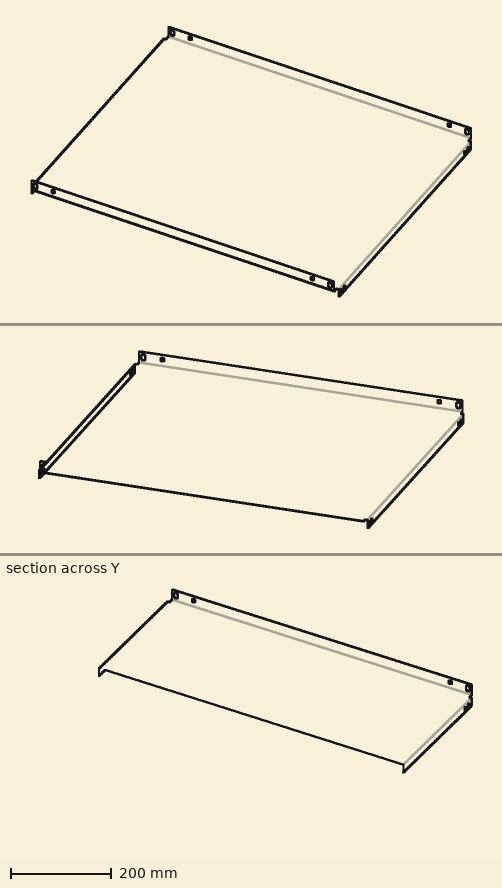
import cadquery as cq
import math

length = 698.0
width = 569.0
height = 43.0
thickness = 1.05
bend_inner = 1.05
bend_outer = bend_inner + thickness
up_height = 25.0
down_height = height - up_height + thickness
up_inset = 5.5
down_inset = 10.5
corner_radius = 3.5

slot_edge = 15.0
slot_drop = 12.0
slot_height = 13.0
slot_width = 8.5
up_hole_edge = 55.0
up_hole_drop = 10.5
up_hole_diameter = 8.0

down_hole_edges = (21.5, 35.0)
down_hole_rise = 8.0
down_hole_diameter = 7.0

ARC_MIDDLE = 1 - math.sqrt(0.5)

up_length = length - 2 * up_inset
down_length = width - 2 * down_inset
top_edge = up_height
bottom_edge = thickness - down_height


def bent_channel(plane, span, edge, base, run):
    """U channel from the web's outer face at height base to the flange edges."""
    half = span / 2
    up = 1 if edge > base else -1
    bend_end = base + up * bend_outer
    web_inside = base + up * thickness
    diagonal = bend_outer * ARC_MIDDLE
    inner_diagonal = thickness + bend_inner * ARC_MIDDLE
    return (
        cq.Workplane(plane)
        .moveTo(-half, edge)
        .lineTo(-half, bend_end)
        .threePointArc((diagonal - half, base + up * diagonal), (bend_outer - half, base))
        .lineTo(half - bend_outer, base)
        .threePointArc((half - diagonal, base + up * diagonal), (half, bend_end))
        .lineTo(half, edge)
        .lineTo(half - thickness, edge)
        .lineTo(half - thickness, bend_end)
        .threePointArc(
            (half - inner_diagonal, base + up * inner_diagonal),
            (half - bend_outer, web_inside),
        )
        .lineTo(bend_outer - half, web_inside)
        .threePointArc(
            (inner_diagonal - half, base + up * inner_diagonal),
            (thickness - half, bend_end),
        )
        .lineTo(thickness - half, edge)
        .close()
        .extrude(run / 2, both=True)
    )


raised = bent_channel("YZ", width, top_edge, 0, up_length)
raised = raised.faces(">Z").edges("|Y").fillet(corner_radius)
lowered = bent_channel("XZ", length, bottom_edge, thickness, down_length)
lowered = lowered.faces("<Z").edges("|X").fillet(corner_radius)

slot_x = length / 2 - slot_edge
up_hole_x = length / 2 - up_hole_edge
slots = (
    cq.Workplane("XZ")
    .pushPoints([(side * slot_x, top_edge - slot_drop) for side in (-1, 1)])
    .slot2D(slot_height, slot_width, 90)
    .extrude(width, both=True)
)
up_holes = (
    cq.Workplane("XZ")
    .pushPoints([(side * up_hole_x, top_edge - up_hole_drop) for side in (-1, 1)])
    .circle(up_hole_diameter / 2)
    .extrude(width, both=True)
)
down_hole_points = [
    (side * (width / 2 - edge), bottom_edge + down_hole_rise)
    for side in (-1, 1)
    for edge in down_hole_edges
]
down_holes = (
    cq.Workplane("YZ")
    .pushPoints(down_hole_points)
    .circle(down_hole_diameter / 2)
    .extrude(length, both=True)
)

result = raised.union(lowered).cut(slots).cut(up_holes).cut(down_holes)